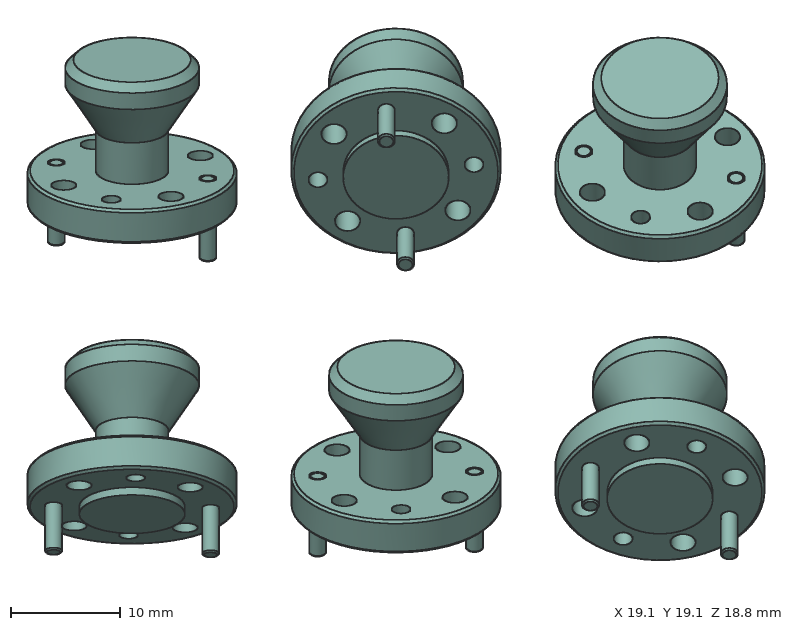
import cadquery as cq
import math

flange_diameter = 19.05
flange_thickness = 3.33
flange_chamfer = 0.25

boss_diameter = 9.6
boss_height = 0.75

stem_diameter = 6.63
stem_height = 4.08
head_diameter = 12.2
cone_height = 4.42
head_rim_height = 1.62
head_chamfer = 0.76

pitch_radius = 7.15
bolt_hole_diameter = 2.29
guide_hole_diameter = 1.71
pin_diameter = 1.56
pin_projection = 4.6
pin_chamfer = 0.15

bolt_angles = [0, 90, 180, 270]
guide_hole_angles = [135, 315]
pin_angles = [45, 225]


def pitch_points(angles):
    """Points on the pitch circle at the given angles in degrees."""
    return [
        (pitch_radius * math.cos(math.radians(angle)), pitch_radius * math.sin(math.radians(angle)))
        for angle in angles
    ]


def make_flange():
    """Chamfered disc with a shallow boss underneath."""
    disc = (
        cq.Workplane("XY")
        .circle(flange_diameter / 2)
        .extrude(flange_thickness)
        .edges()
        .chamfer(flange_chamfer)
    )
    boss = cq.Workplane("XY").circle(boss_diameter / 2).extrude(-boss_height)
    return disc.union(boss)


def make_knob():
    """Revolved handle standing on the flange."""
    stem_radius = stem_diameter / 2
    head_radius = head_diameter / 2
    cone_bottom = flange_thickness + stem_height
    rim_bottom = cone_bottom + cone_height
    rim_top = rim_bottom + head_rim_height
    knob_top = rim_top + head_chamfer
    profile = [
        (0, flange_thickness),
        (stem_radius, flange_thickness),
        (stem_radius, cone_bottom),
        (head_radius, rim_bottom),
        (head_radius, rim_top),
        (head_radius - head_chamfer, knob_top),
        (0, knob_top),
    ]
    return cq.Workplane("XZ").polyline(profile).close().revolve(360, (0, 0, 0), (0, 1, 0))


def hole_cutters(angles, diameter):
    """Cylinders through the full flange thickness."""
    return cq.Workplane("XY").pushPoints(pitch_points(angles)).circle(diameter / 2).extrude(flange_thickness)


def make_housing():
    """Flange and knob in one piece, with bolt, guide and pin holes."""
    housing = make_flange().union(make_knob())
    housing = housing.cut(hole_cutters(bolt_angles, bolt_hole_diameter))
    housing = housing.cut(hole_cutters(guide_hole_angles, guide_hole_diameter))
    return housing.cut(hole_cutters(pin_angles, pin_diameter))


def make_pin(x, y):
    """Dowel pin, flush with the flange top and chamfered at both ends."""
    return (
        cq.Workplane("XY", origin=(x, y, -pin_projection))
        .circle(pin_diameter / 2)
        .extrude(pin_projection + flange_thickness)
        .faces("<Z or >Z")
        .edges()
        .chamfer(pin_chamfer)
    )


housing = make_housing()
pins = [make_pin(x, y) for x, y in pitch_points(pin_angles)]
result = cq.Compound.makeCompound([housing.val(), *[pin.val() for pin in pins]])